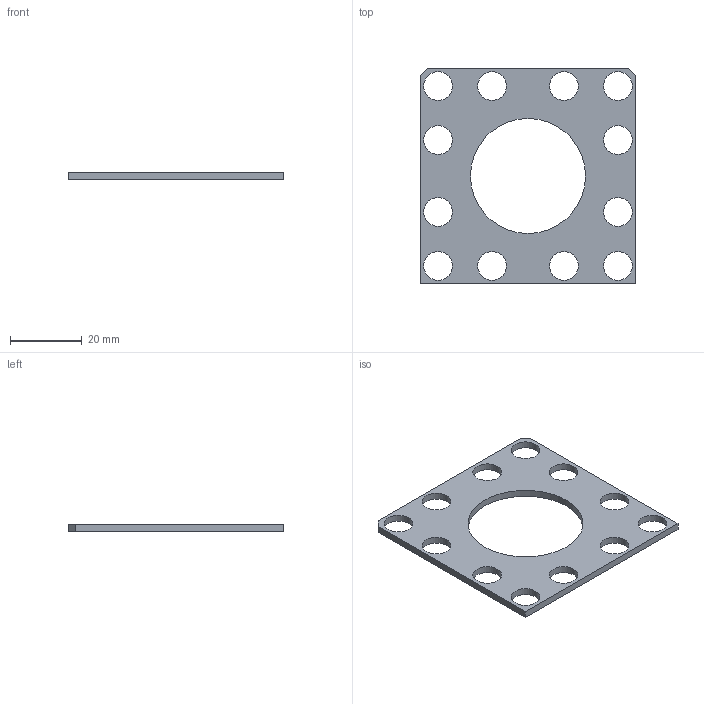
import cadquery as cq

side = 60.0
thickness = 2.0
corner_chamfer = 2.0

bore_diameter = 32.0
hole_diameter = 8.0
outer_offset = 25.0
inner_offset = 10.0


def make_plate():
    """Square plate with its two +Y corners chamfered."""
    plate = cq.Workplane("XY").box(side, side, thickness)
    return plate.edges("|Z and >Y").chamfer(corner_chamfer)


def perimeter_hole_centers():
    """Four holes along each edge, with the corner holes shared."""
    offsets = (-outer_offset, -inner_offset, inner_offset, outer_offset)
    return [
        (x, y)
        for x in offsets
        for y in offsets
        if outer_offset in (abs(x), abs(y))
    ]


def drill_holes(plate):
    """Cut the central bore and the ring of perimeter holes through the plate."""
    bored = plate.faces(">Z").workplane(origin=(0, 0, 0)).hole(bore_diameter)
    return (
        bored.faces(">Z")
        .workplane(origin=(0, 0, 0))
        .pushPoints(perimeter_hole_centers())
        .hole(hole_diameter)
    )


result = drill_holes(make_plate())